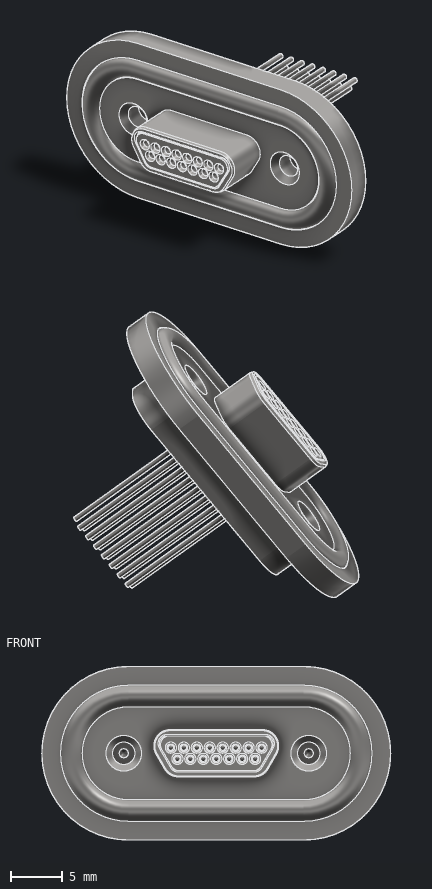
import cadquery as cq
import math


PLATE_LENGTH = 34.15
PLATE_HEIGHT = 17.0
PLATE_THICKNESS = 2.4
END_ARC_X = (PLATE_LENGTH - PLATE_HEIGHT) / 2

BLOCK_LENGTH = 23.4
BLOCK_HEIGHT = 7.5
BLOCK_DEPTH = 3.4
BLOCK_CORNER_RADIUS = 3.0
WIRE_LENGTH = 12.67
WIRE_RADIUS = 0.26
BLOCK_BACK_Y = PLATE_THICKNESS + BLOCK_DEPTH

NOSE_WIDTH = 12.23
NOSE_HEIGHT = 4.65
NOSE_DEPTH = 4.65
NOSE_SIDE_ANGLE = 30.0
NOSE_CORNER_RADIUS = 1.6
TIP_CHAMFER_DEPTH = 0.3
TIP_CHAMFER_INSET = 0.1
SHELL_WALL = 0.48
SHELL_SIDE_WALL = 0.58
LIP_DEPTH = 0.3
LIP_WIDTH = 0.15
MOUTH_CORNER_RADIUS = 0.9
NOSE_TIP_Y = -NOSE_DEPTH

UPPER_CONTACTS = 8
LOWER_CONTACTS = 7
UPPER_ROW_SPAN = 8.88
CONTACT_PITCH = UPPER_ROW_SPAN / (UPPER_CONTACTS - 1)
CONTACT_ROW_Z = 0.55
CONTACT_MOUTH_RADIUS = 0.55
CONTACT_BORE_RADIUS = 0.38
CONTACT_MOUTH_DEPTH = 0.35
CONTACT_BORE_DEPTH = 1.02

SCREW_X = 9.05
SCREW_MOUTH_RADIUS = 1.75
SCREW_BORE_RADIUS = 1.1
SCREW_MOUTH_DEPTH = 0.65
SCREW_BORE_DEPTH = PLATE_THICKNESS
SCREW_POINT_RADIUS = 0.45
SCREW_POINT_DEPTH = 0.27

RING_PATH_RADIUS = 5.6
RING_DIAMETER = 2.12
RING_PROTRUSION = 0.7
GROOVE_WIDTH = RING_DIAMETER
GROOVE_DEPTH = RING_DIAMETER - RING_PROTRUSION


def front_plane(y):
    """Workplane parallel to XZ at the given Y; extrusions grow toward -Y."""
    return cq.Workplane("XZ", origin=(0, y, 0))


def racetrack(y, radius, depth):
    """Prism with round ends about the plate's arc centres, growing from y toward -Y."""
    return front_plane(y).slot2D(2 * (END_ARC_X + radius), 2 * radius).extrude(depth)


def nose_prism(y, depth, inset=0.0, side_inset=0.0, radius=NOSE_CORNER_RADIUS, taper=0.0):
    """Trapezoid with rounded corners, its outline moved in from the nose outline.

    inset moves the top and bottom edges and side_inset the slanted sides.
    """
    angle = math.radians(NOSE_SIDE_ANGLE)
    half_height = NOSE_HEIGHT / 2
    arc_x = NOSE_WIDTH / 2 - NOSE_CORNER_RADIUS
    arc_z = half_height - NOSE_CORNER_RADIUS
    side_x = arc_x - arc_z * math.tan(angle) + (NOSE_CORNER_RADIUS - side_inset) / math.cos(angle)
    z = half_height - inset
    top_x = side_x + z * math.tan(angle)
    bottom_x = side_x - z * math.tan(angle)
    corners = [(-top_x, z), (top_x, z), (bottom_x, -z), (-bottom_x, -z)]
    outline = cq.Sketch().polygon(corners + corners[:1]).vertices().fillet(radius)
    return front_plane(y).placeSketch(outline).extrude(depth, taper=taper)


def stepped_hole(x, y, z, profile):
    """Turned cutter about a Y axis; profile lists (radius, depth) from the mouth at y inward."""
    end_depth = profile[-1][1]
    points = [(0, 0)] + profile
    if profile[-1][0] > 0:
        points.append((0, end_depth))
    turned = cq.Workplane("XY").polyline(points).close().revolve(360, (0, 0), (0, 1))
    return turned.translate((x, y, z))


def contact_positions():
    """Centres (x, z) of all contacts, each row centred on X = 0."""
    positions = []
    for count, z in ((UPPER_CONTACTS, CONTACT_ROW_Z), (LOWER_CONTACTS, -CONTACT_ROW_Z)):
        for index in range(count):
            positions.append(((index - (count - 1) / 2) * CONTACT_PITCH, z))
    return positions


def nose():
    """Shell with a chamfered tip, a sloping inner lip and a flush contact insert."""
    straight = nose_prism(0, NOSE_DEPTH - TIP_CHAMFER_DEPTH)
    tip_taper = math.degrees(math.atan2(TIP_CHAMFER_INSET, TIP_CHAMFER_DEPTH))
    tip = nose_prism(NOSE_TIP_Y + TIP_CHAMFER_DEPTH, TIP_CHAMFER_DEPTH, taper=tip_taper)
    lip_taper = math.degrees(math.atan2(LIP_WIDTH, LIP_DEPTH))
    lip = nose_prism(
        NOSE_TIP_Y, -LIP_DEPTH,
        inset=SHELL_WALL, side_inset=SHELL_SIDE_WALL,
        radius=MOUTH_CORNER_RADIUS, taper=lip_taper,
    )
    insert = nose_prism(
        NOSE_TIP_Y + LIP_DEPTH, LIP_DEPTH,
        inset=SHELL_WALL + LIP_WIDTH, side_inset=SHELL_SIDE_WALL + LIP_WIDTH,
        radius=MOUTH_CORNER_RADIUS,
    )
    return straight.union(tip).cut(lip).union(insert)


def contact_hole(x, z):
    return stepped_hole(x, NOSE_TIP_Y, z, [
        (CONTACT_MOUTH_RADIUS, 0),
        (CONTACT_BORE_RADIUS, CONTACT_MOUTH_DEPTH),
        (CONTACT_BORE_RADIUS, CONTACT_BORE_DEPTH),
    ])


def contact_tip(x, z):
    """Domed end of a contact, standing on the floor of its hole."""
    return cq.Workplane("XY").sphere(WIRE_RADIUS).translate((x, NOSE_TIP_Y + CONTACT_BORE_DEPTH, z))


def screw_hole(x):
    return stepped_hole(x, 0, 0, [
        (SCREW_MOUTH_RADIUS, 0),
        (SCREW_BORE_RADIUS, SCREW_MOUTH_DEPTH),
        (SCREW_BORE_RADIUS, SCREW_BORE_DEPTH),
    ])


def screw_point(x):
    """Conical pit in the floor of a screw hole."""
    return stepped_hole(x, SCREW_BORE_DEPTH, 0, [
        (SCREW_POINT_RADIUS, 0),
        (0, SCREW_POINT_DEPTH),
    ])


def ring_groove():
    outer = racetrack(GROOVE_DEPTH, RING_PATH_RADIUS + GROOVE_WIDTH / 2, GROOVE_DEPTH)
    inner = racetrack(GROOVE_DEPTH, RING_PATH_RADIUS - GROOVE_WIDTH / 2, GROOVE_DEPTH)
    return outer.cut(inner)


def make_housing():
    plate = racetrack(PLATE_THICKNESS, PLATE_HEIGHT / 2, PLATE_THICKNESS)
    block = (
        front_plane(BLOCK_BACK_Y)
        .rect(BLOCK_LENGTH, BLOCK_HEIGHT)
        .extrude(BLOCK_DEPTH)
        .edges("|Y")
        .fillet(BLOCK_CORNER_RADIUS)
    )
    body = plate.union(block).union(nose()).cut(ring_groove())
    for x in (-SCREW_X, SCREW_X):
        body = body.cut(screw_hole(x)).cut(screw_point(x))
    for x, z in contact_positions():
        body = body.cut(contact_hole(x, z)).union(contact_tip(x, z))
    wires = (
        front_plane(BLOCK_BACK_Y)
        .pushPoints(contact_positions())
        .circle(WIRE_RADIUS)
        .extrude(-WIRE_LENGTH)
    )
    return body.union(wires)


def make_sealing_ring():
    """Round cord swept around the racetrack, resting on the groove floor."""
    centre_y = GROOVE_DEPTH - RING_DIAMETER / 2
    path = (
        front_plane(centre_y)
        .moveTo(0, RING_PATH_RADIUS)
        .lineTo(END_ARC_X, RING_PATH_RADIUS)
        .threePointArc((END_ARC_X + RING_PATH_RADIUS, 0), (END_ARC_X, -RING_PATH_RADIUS))
        .lineTo(-END_ARC_X, -RING_PATH_RADIUS)
        .threePointArc((-END_ARC_X - RING_PATH_RADIUS, 0), (-END_ARC_X, RING_PATH_RADIUS))
        .close()
    )
    section = cq.Workplane("YZ").center(centre_y, RING_PATH_RADIUS).circle(RING_DIAMETER / 2)
    return section.sweep(path)


housing = make_housing()
sealing_ring = make_sealing_ring()

result = cq.Compound.makeCompound([housing.solids().val(), sealing_ring.val()])